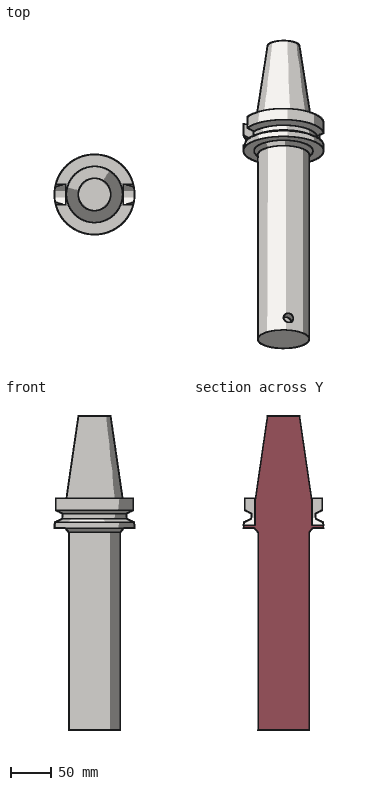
import cadquery as cq

total_length = 390.8
taper_length = 101.5
flange_top = 288.5
flange_rim_height = 15.0
groove_top = flange_top - 19.0
groove_bottom = flange_top - 25.5
lower_rim_top = flange_top - 29.7
flange_bottom = flange_top - 37.0
shank_top = flange_top - 42.5

flange_diameter = 100.0
groove_diameter = 84.0
taper_large_diameter = 70.0
taper_ratio = 7 / 24
taper_small_diameter = taper_large_diameter - taper_length * taper_ratio
shank_diameter = 64.0
neck_cone_diameter = 73.5

slot_width = 25.5
slot_depth = 33.5
slot_floor_offset = 35.5

screw_hole_diameter = 12.0
screw_hole_height = 16.5
screw_hole_depth = 14.0


def make_body():
    """Revolve the holder's half profile about Z."""
    shank_radius = shank_diameter / 2
    flange_radius = flange_diameter / 2
    groove_radius = groove_diameter / 2
    taper_radius = taper_large_diameter / 2
    profile = [
        (0, 0),
        (shank_radius, 0),
        (shank_radius, shank_top),
        (neck_cone_diameter / 2, flange_bottom),
        (flange_radius, flange_bottom),
        (flange_radius, lower_rim_top),
        (groove_radius, groove_bottom),
        (groove_radius, groove_top),
        (flange_radius, flange_top - flange_rim_height),
        (flange_radius, flange_top),
        (taper_radius, flange_top),
        (taper_radius, total_length - taper_length),
        (taper_small_diameter / 2, total_length),
        (0, total_length),
    ]
    return cq.Workplane("XZ").polyline(profile).close().revolve(360, (0, 0), (0, 1))


def make_drive_slot(side):
    """Round-bottomed slot cutter; side is +1 for +X and -1 for -X."""
    half_width = slot_width / 2
    slot_bottom = flange_top - slot_depth
    arc_start = slot_bottom + half_width
    return (
        cq.Workplane("YZ", origin=(side * slot_floor_offset, 0, 0))
        .moveTo(-half_width, flange_top)
        .lineTo(-half_width, arc_start)
        .threePointArc((0, slot_bottom), (half_width, arc_start))
        .lineTo(half_width, flange_top)
        .close()
        .extrude(side * flange_diameter / 2)
    )


def make_screw_hole():
    """Blind radial hole cutter entering the shank from +Y."""
    return (
        cq.Workplane("XZ", origin=(0, shank_diameter / 2, screw_hole_height))
        .circle(screw_hole_diameter / 2)
        .extrude(screw_hole_depth)
    )


result = make_body()
for slot_side in (1, -1):
    result = result.cut(make_drive_slot(slot_side))
result = result.cut(make_screw_hole())